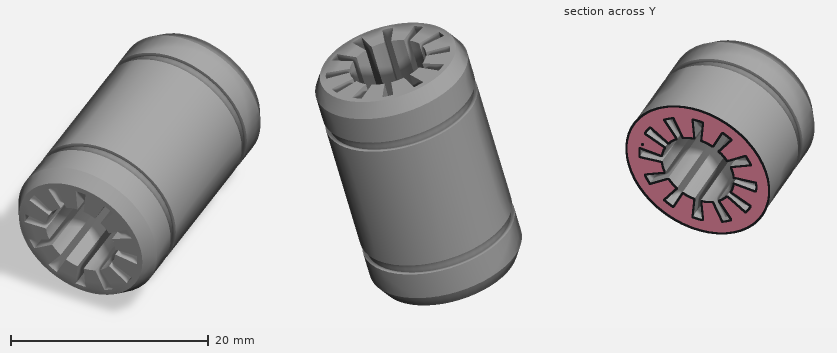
import cadquery as cq
import math

length = 25.0
outer_radius = 8.0
bore_radius = 4.0

chamfer_length = 1.5
chamfer_depth = 0.88

groove_span = 16.2
groove_width = 1.1
groove_radius = 7.6

slot_count = 12
slot_angle = 10.0
slot_outer_radius = 6.5


def cylinder(radius, height):
    """Cylinder along Y, centred on the origin."""
    return cq.Workplane("XZ", origin=(0, height / 2, 0)).circle(radius).extrude(height)


def chamfered_body():
    """Solid sleeve blank with a cone at each end."""
    half_length = length / 2
    end_radius = outer_radius - chamfer_depth
    shoulder = half_length - chamfer_length
    profile = [
        (0, -half_length),
        (end_radius, -half_length),
        (outer_radius, -shoulder),
        (outer_radius, shoulder),
        (end_radius, half_length),
        (0, half_length),
    ]
    return cq.Workplane("XY").polyline(profile).close().revolve(360, (0, 0, 0), (0, 1, 0))


def groove_ring():
    """Ring of material removed to form one groove, centred on the origin."""
    return cylinder(outer_radius, groove_width).cut(cylinder(groove_radius, groove_width))


def slot_wedge():
    """Full-length wedge from the axis out to the floor of a slot."""
    half_angle = math.radians(slot_angle / 2)
    corner_x = slot_outer_radius * math.cos(half_angle)
    corner_z = slot_outer_radius * math.sin(half_angle)
    return (
        cq.Workplane("XZ", origin=(0, length / 2, 0))
        .lineTo(corner_x, -corner_z)
        .threePointArc((slot_outer_radius, 0), (corner_x, corner_z))
        .close()
        .extrude(length)
    )


result = chamfered_body().cut(cylinder(bore_radius, length))

groove_center = (groove_span - groove_width) / 2
for side in (-1, 1):
    result = result.cut(groove_ring().translate((0, side * groove_center, 0)))

for index in range(slot_count):
    turn = index * 360 / slot_count
    result = result.cut(slot_wedge().rotate((0, 0, 0), (0, 1, 0), turn))